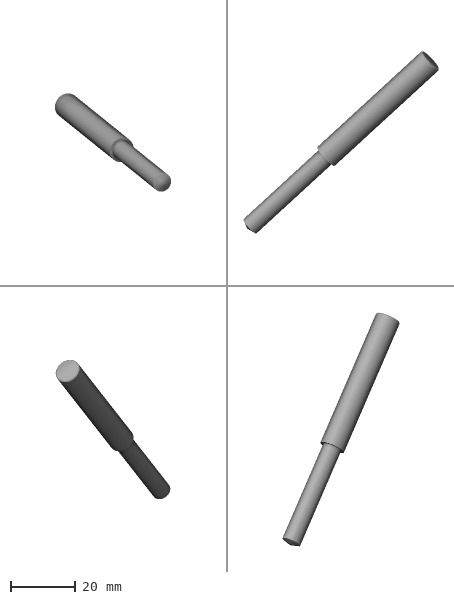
import cadquery as cq

total_length = 79.0
shank_diameter = 8.0
shank_length = 45.0
shank_chamfer = 0.3
neck_diameter = 6.0
tip_length = 1.1

shank_radius = shank_diameter / 2
neck_radius = neck_diameter / 2
tip_start = total_length - tip_length

half_profile = (
    cq.Workplane("XZ")
    .moveTo(0, 0)
    .lineTo(0, shank_radius - shank_chamfer)
    .lineTo(shank_chamfer, shank_radius)
    .lineTo(shank_length, shank_radius)
    .lineTo(shank_length, neck_radius)
    .lineTo(tip_start, neck_radius)
    .lineTo(total_length, 0)
    .close()
)

result = half_profile.revolve(360, (0, 0, 0), (1, 0, 0))